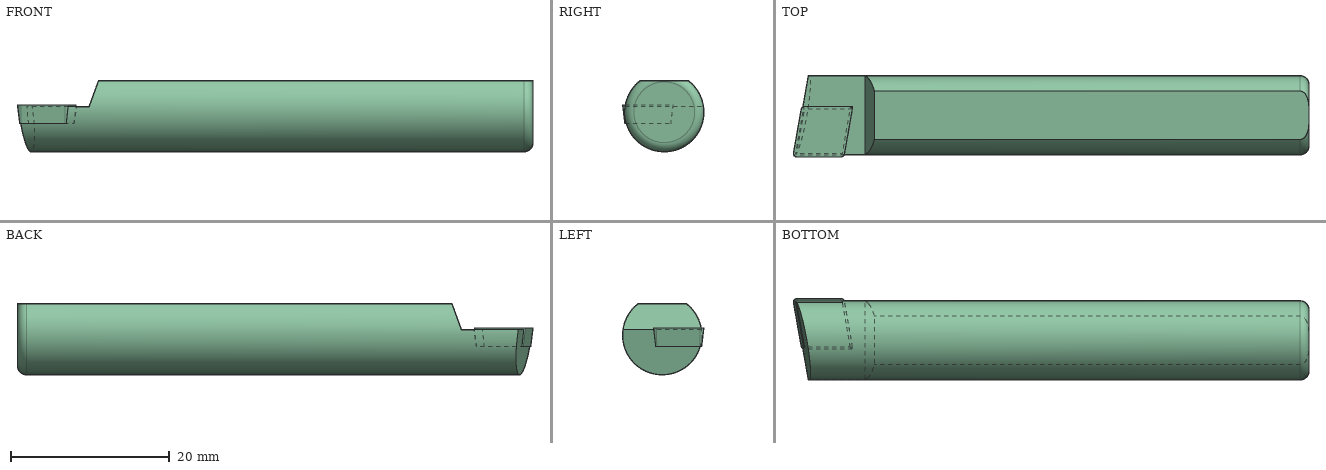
import cadquery as cq
import math

tool_length = 65.0
shank_radius = 5.0
flat_height = 3.95
rear_fillet = 1.2

ledge_height = 0.7
step_start = 9.05
step_lean = 20.0

insert_top = 0.9
insert_thickness = 2.35
insert_width = 6.4
nose_radius = 0.45
nose_y = -5.25
lead_angle = 10.0
relief_angle = 7.0
end_setback = 0.1

lead = math.radians(lead_angle)
corner_x = nose_radius * (1 - 1 / math.cos(lead) - math.tan(lead))


def make_rhombus():
    """Sharp-cornered plan outline of the insert."""
    side = insert_width / math.cos(lead)
    slant = insert_width * math.tan(lead)
    far_y = nose_y + insert_width
    return cq.Sketch().polygon([
        (corner_x, nose_y),
        (corner_x + side, nose_y),
        (corner_x + side + slant, far_y),
        (corner_x + slant, far_y),
        (corner_x, nose_y),
    ])


def make_tapered_block(outline):
    """Block below the insert top, narrowing downward by the relief angle."""
    return (
        cq.Workplane("XY", origin=(0, 0, insert_top))
        .placeSketch(outline)
        .extrude(-insert_thickness, taper=relief_angle)
    )


def make_insert():
    """Cutting insert whose corner rounding shrinks toward its bottom."""
    return make_tapered_block(make_rhombus().vertices().fillet(nose_radius))


def make_shank():
    """Round bar with a rounded rear rim and a flat along its top."""
    bar = cq.Workplane("YZ").circle(shank_radius).extrude(tool_length)
    bar = bar.faces(">X").edges().fillet(rear_fillet)
    above_flat = (
        cq.Workplane("XY", origin=(0, 0, flat_height))
        .rect(2 * tool_length, 2 * shank_radius)
        .extrude(shank_radius)
    )
    return bar.cut(above_flat)


def make_step_cutter():
    """Space above the ledge, ending at the sloping step wall."""
    step_rise = shank_radius - ledge_height
    step_run = step_rise * math.tan(math.radians(step_lean))
    return (
        cq.Workplane("XZ")
        .polyline([
            (-shank_radius, ledge_height),
            (step_start, ledge_height),
            (step_start + step_run, shank_radius),
            (-shank_radius, shank_radius),
        ])
        .close()
        .extrude(shank_radius, both=True)
    )


def make_end_cutter():
    """Block in front of the end face, turned to the lead and relief angles."""
    block_size = 6 * shank_radius
    return (
        cq.Workplane("XY")
        .box(block_size, block_size, block_size)
        .translate((-block_size / 2, 0, 0))
        .rotate((0, 0, 0), (0, 1, 0), -relief_angle)
        .rotate((0, 0, 0), (0, 0, 1), -lead_angle)
        .translate((corner_x + end_setback, nose_y, insert_top))
    )


def make_holder():
    """Shank with its stepped head, slanted end and sharp-cornered insert pocket."""
    return (
        make_shank()
        .cut(make_step_cutter())
        .cut(make_end_cutter())
        .cut(make_tapered_block(make_rhombus()))
    )


holder = make_holder()
insert = make_insert()
result = cq.Compound.makeCompound([holder.val(), insert.val()])